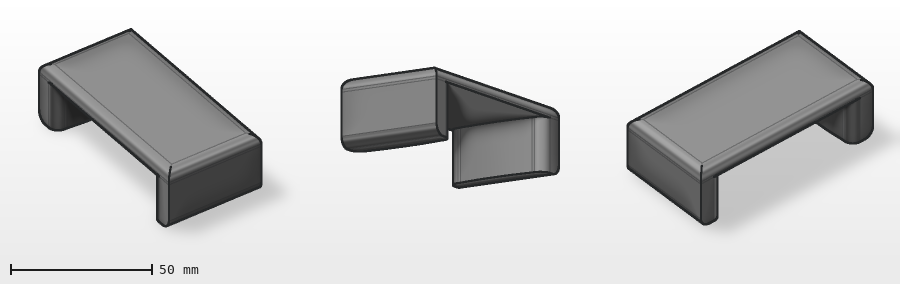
import cadquery as cq

length = 80.0
width = 40.0
height = 25.0

plate_thickness = 5.0
plate_edge_radius = 4.0

leg_thickness = 10.0
leg_inner_radius = 4.0
leg_foot_radius = 4.0
leg_height = height - plate_thickness

bulge_width = 30.0
bulge_rise = 0.87


def make_plate():
    """Plate resting on the legs, with its top edges rounded."""
    plate = cq.Workplane("XY").workplane(offset=leg_height).box(
        length, width, plate_thickness, centered=(True, True, False)
    )
    return plate.faces(">Z").edges().fillet(plate_edge_radius)


def make_left_leg():
    """Leg at the -X end: rounded inner corners, bulged inner face, rounded outer foot edge."""
    outer_x = -length / 2
    inner_x = outer_x + leg_thickness
    corner_x = inner_x - leg_inner_radius
    half_width = width / 2
    half_flat = half_width - leg_inner_radius
    half_bulge = bulge_width / 2
    outline = (
        cq.Workplane("XY")
        .moveTo(outer_x, -half_width)
        .lineTo(corner_x, -half_width)
        .radiusArc((inner_x, -half_flat), -leg_inner_radius)
        .lineTo(inner_x, -half_bulge)
        .threePointArc((inner_x + bulge_rise, 0), (inner_x, half_bulge))
        .lineTo(inner_x, half_flat)
        .radiusArc((corner_x, half_width), -leg_inner_radius)
        .lineTo(outer_x, half_width)
        .close()
    )
    return outline.extrude(leg_height).edges("<X and <Z").fillet(leg_foot_radius)


left_leg = make_left_leg()
right_leg = left_leg.mirror("YZ")

result = make_plate().union(left_leg, clean=False).union(right_leg, clean=False)